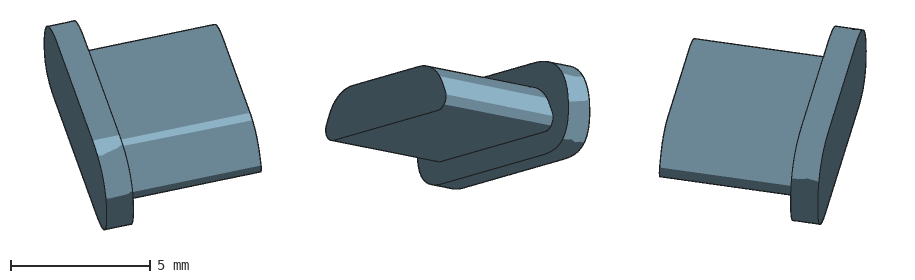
import cadquery as cq
import math

plate_half_width = 4.25
plate_half_height = 1.75
plate_thickness = 1.0
plate_widest_z = -0.23
plate_top_flat_half = 2.34
plate_bottom_flat_half = 2.84
top_corner_pull_x = 1.40
top_corner_pull_z = 1.12
bottom_corner_pull_x = 1.01
bottom_corner_pull_z = 1.02

stem_length = 5.0
stem_half_width = 3.38
stem_half_height = 0.915
stem_top_flat_half = 1.87
shoulder_radius = 1.43
bottom_corner_radius = 0.455


def extrude_along_y(profile, start_y, length):
    """Extrude a closed XZ profile from start_y toward +Y."""
    return profile.extrude(-length).translate((0, start_y, 0))


def mirrored(point):
    return (-point[0], point[1])


def make_plate():
    top = plate_half_height
    bottom = -plate_half_height

    right_half = [
        (plate_top_flat_half, top),
        (plate_top_flat_half + top_corner_pull_x, top),
        (plate_half_width, plate_widest_z + top_corner_pull_z),
        (plate_half_width, plate_widest_z),
        (plate_half_width, plate_widest_z - bottom_corner_pull_z),
        (plate_bottom_flat_half + bottom_corner_pull_x, bottom),
        (plate_bottom_flat_half, bottom),
    ]
    left_half = [mirrored(point) for point in reversed(right_half)]

    widest = 3
    profile = (
        cq.Workplane("XZ")
        .moveTo(*right_half[0])
        .bezier(right_half[:widest + 1])
        .bezier(right_half[widest:])
        .lineTo(*left_half[0])
        .bezier(left_half[:widest + 1])
        .bezier(left_half[widest:])
        .close()
    )
    return extrude_along_y(profile, -plate_thickness, plate_thickness)


def arc_point(center, radius, angle):
    return (center[0] + radius * math.cos(angle), center[1] + radius * math.sin(angle))


def make_stem():
    shoulder_center = (stem_top_flat_half, stem_half_height - shoulder_radius)
    corner_center = (stem_half_width - bottom_corner_radius, bottom_corner_radius - stem_half_height)

    center_run = corner_center[0] - shoulder_center[0]
    center_rise = corner_center[1] - shoulder_center[1]
    center_distance = math.hypot(center_run, center_rise)
    radius_difference = shoulder_radius - bottom_corner_radius
    side_normal = math.atan2(center_rise, center_run) + math.acos(radius_difference / center_distance)
    upward = math.pi / 2
    downward = -math.pi / 2

    shoulder_start = arc_point(shoulder_center, shoulder_radius, upward)
    shoulder_middle = arc_point(shoulder_center, shoulder_radius, (upward + side_normal) / 2)
    shoulder_end = arc_point(shoulder_center, shoulder_radius, side_normal)
    corner_start = arc_point(corner_center, bottom_corner_radius, side_normal)
    corner_middle = arc_point(corner_center, bottom_corner_radius, (side_normal + downward) / 2)
    corner_end = arc_point(corner_center, bottom_corner_radius, downward)

    profile = (
        cq.Workplane("XZ")
        .moveTo(*shoulder_start)
        .threePointArc(shoulder_middle, shoulder_end)
        .lineTo(*corner_start)
        .threePointArc(corner_middle, corner_end)
        .lineTo(*mirrored(corner_end))
        .threePointArc(mirrored(corner_middle), mirrored(corner_start))
        .lineTo(*mirrored(shoulder_end))
        .threePointArc(mirrored(shoulder_middle), mirrored(shoulder_start))
        .close()
    )
    return extrude_along_y(profile, 0, stem_length)


result = make_plate().union(make_stem())